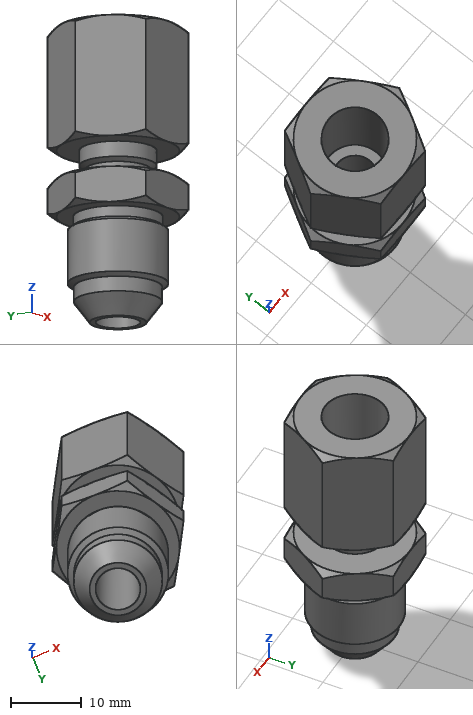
import cadquery as cq
import math

across_flats = 17.45
across_corners = across_flats / math.cos(math.radians(30))
hex_chamfer_angle = 30

nose_cone_height = 3.0
nose_top = 5.15
thread_top = 13.93
body_hex_bottom = 15.45
body_hex_top = 20.65
collar_bottom = 22.4
nut_bottom = 25.15
total_height = 42.85

nose_dia = 12.56
thread_dia = 14.29
relief_dia = 12.75
neck_dia = 9.2
collar_dia = 11.0
nose_cone_angle = 37
end_chamfer_height = 0.52

bore_dia = 6.35
tube_socket_dia = 9.525
tube_socket_depth = total_height - nut_bottom


def chamfered_hex(bottom, top):
    """Hexagonal prism whose corners are turned down to a cone at both ends."""
    face_radius = across_flats / 2
    corner_radius = across_corners / 2
    chamfer_height = (corner_radius - face_radius) * math.tan(math.radians(hex_chamfer_angle))
    prism = (
        cq.Workplane("XY")
        .workplane(offset=bottom)
        .polygon(6, across_corners)
        .extrude(top - bottom)
    )
    turned_blank = (
        cq.Workplane("XZ")
        .moveTo(0, bottom)
        .lineTo(face_radius, bottom)
        .lineTo(corner_radius, bottom + chamfer_height)
        .lineTo(corner_radius, top - chamfer_height)
        .lineTo(face_radius, top)
        .lineTo(0, top)
        .close()
        .revolve(360, (0, 0, 0), (0, 1, 0))
    )
    return prism.intersect(turned_blank)


def turned_body():
    """Round core: flare nose, thread, relief, neck and collar up to the nut."""
    nose_tip_radius = nose_dia / 2 - nose_cone_height * math.tan(math.radians(nose_cone_angle))
    return (
        cq.Workplane("XZ")
        .moveTo(0, 0)
        .lineTo(nose_tip_radius, 0)
        .lineTo(nose_dia / 2, nose_cone_height)
        .lineTo(nose_dia / 2, nose_top)
        .lineTo(thread_dia / 2, nose_top + end_chamfer_height)
        .lineTo(thread_dia / 2, thread_top - end_chamfer_height)
        .lineTo(relief_dia / 2, thread_top)
        .lineTo(relief_dia / 2, body_hex_top)
        .lineTo(neck_dia / 2, body_hex_top)
        .lineTo(neck_dia / 2, collar_bottom)
        .lineTo(collar_dia / 2, collar_bottom + end_chamfer_height)
        .lineTo(collar_dia / 2, total_height)
        .lineTo(0, total_height)
        .close()
        .revolve(360, (0, 0, 0), (0, 1, 0))
    )


def passage():
    """Through bore that opens into a wider tube socket in the nut."""
    bore = cq.Workplane("XY").circle(bore_dia / 2).extrude(total_height)
    socket = (
        cq.Workplane("XY")
        .workplane(offset=total_height - tube_socket_depth)
        .circle(tube_socket_dia / 2)
        .extrude(tube_socket_depth)
    )
    return bore.union(socket)


body_hex = chamfered_hex(body_hex_bottom, body_hex_top)
nut = chamfered_hex(nut_bottom, total_height)
result = turned_body().union(body_hex).union(nut).cut(passage())